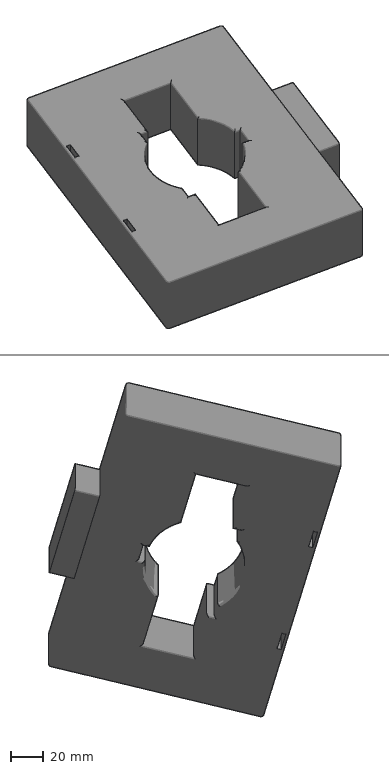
import cadquery as cq

body_width = 185.0
total_depth = 154.0
body_height = 42.0
edge_radius = 2.0

tab_width = 62.0
tab_depth = 16.0
tab_height = 34.0
body_depth = total_depth - tab_depth

opening_y = body_depth / 2
window_radius = 30.9
busbar_width = 123.5
busbar_height = 32.2
notch_width = 10.0
notch_top = 34.5
step_width = 62.0
step_bottom = 20.9

slot_width = 11.1
slot_depth = 2.5
slot_spacing = 74.4
front_wall = edge_radius


def make_body():
    """Block with every outer edge rounded."""
    block = cq.Workplane("XY").box(body_width, body_depth, body_height)
    return block.edges().fillet(edge_radius).translate((0, body_depth / 2, 0))


def make_tab():
    """Rear terminal block, rounded along its length and rooted inside the body."""
    root = 2 * edge_radius
    tab = cq.Workplane("XY").box(tab_width, tab_depth + root, tab_height)
    tab = tab.edges("|Y").fillet(edge_radius)
    return tab.translate((0, total_depth - (tab_depth + root) / 2, 0))


def make_opening():
    """Cutter for the conductor opening, made as long as the body is high."""
    plane = cq.Workplane("XY", origin=(0, opening_y, -body_height / 2))
    window = plane.circle(window_radius).extrude(body_height)
    busbar = plane.rect(busbar_width, busbar_height).extrude(body_height)
    notch = plane.center(0, notch_top / 2).rect(notch_width, notch_top).extrude(body_height)
    step = plane.center(0, -step_bottom / 2).rect(step_width, step_bottom).extrude(body_height)
    return window.union(busbar).union(notch).union(step).clean()


def cut_opening(body):
    """Cut the opening and round its rims on the top and bottom faces."""
    body = body.cut(make_opening())
    around_opening = cq.selectors.BoxSelector(
        (-busbar_width / 2 - edge_radius, opening_y - notch_top - edge_radius, -body_height),
        (busbar_width / 2 + edge_radius, opening_y + notch_top + edge_radius, body_height),
    )
    return body.faces("|Z").edges(around_opening).fillet(edge_radius)


def make_slots():
    """Cutters for the pair of slots running through the full height."""
    slots = cq.Workplane("XY").pushPoints([(-slot_spacing / 2, 0), (slot_spacing / 2, 0)])
    slots = slots.rect(slot_width, slot_depth).extrude(body_height, both=True)
    return slots.translate((0, front_wall + slot_depth / 2, 0))


result = cut_opening(make_body()).union(make_tab()).cut(make_slots())